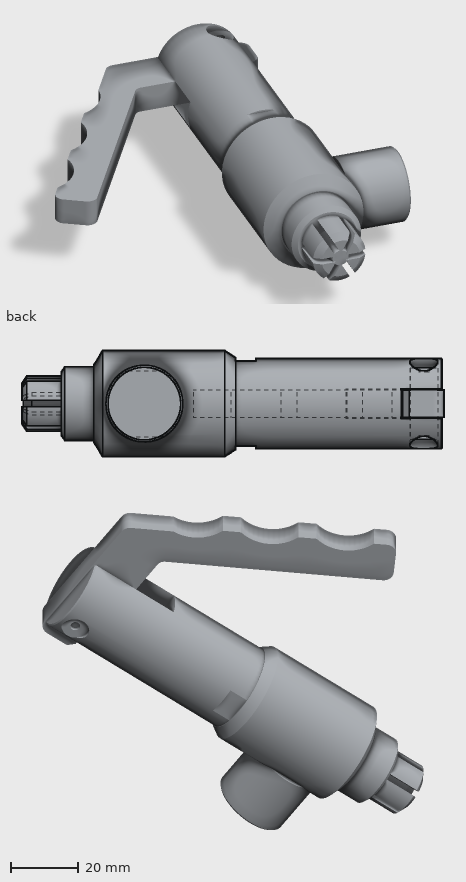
import cadquery as cq
import math

BARREL_START = 0.5
BARREL_END = 56.1
BARREL_DIA = 27.0
BARREL_CHAMFER = 0.4
NECK_END = 62.2
NECK_ACROSS_FLATS = 25.4
DRUM_DIA = 31.7
DRUM_REAR_DIA = 27.5
DRUM_REAR_CONE_END = 65.5
DRUM_FRONT_CONE_START = 101.8
DRUM_END = 104.5
DRUM_FRONT_DIA = 22.9
COLLAR_DIA = 22.0
COLLAR_CONE_START = 113.0
COLLAR_END = 114.2
COLLAR_FRONT_DIA = 18.9

TIP_END = 125.9
TIP_DIA = 16.6
TIP_CONE_START = 124.4
TIP_FRONT_DIA = 12.1
SPLINE_COUNT = 6
SPLINE_WIDTH = 1.9
CORE_DIA = 6.9
CORE_CONE_START = 123.0
CORE_END = 125.5
CORE_FRONT_DIA = 5.0

OUTLET_X = 89.4
OUTLET_DIA = 22.9
OUTLET_BASE_Y = 12.5
OUTLET_END_Y = 31.5
OUTLET_CHAMFER = 0.6

SLOT_WIDTH = 8.8
SLOT_BACK_END = 12.8
SLOT_FRONT_END = 29.3
SLOT_STEP_Y = 0.0

PIN_X = 6.0
PIN_Y = 5.2
PIN_DIA = 8.2
PIN_HOLE_DIA = 8.3
PIN_LENGTH = 21.4
PIN_DIMPLE_DIA = 2.9
PIN_DIMPLE_DEPTH = 1.3

LEVER_THICKNESS = 8.2
HEAD_TOP = 15.6
HEAD_WIDTH = 12.3
HEAD_ROUND = 3.1
HEAD_CHAMFER = 1.9
SHANK_WIDTH = 15.6
ELBOW_Y = -24.9
ELBOW_ROUND = 2.5
HEEL_ROUND = 3.0
ARM_ANGLE = 30
ARM_LENGTH = 69.6
HEEL_DEPTH = 11.0
GRIP_DEPTH = 12.7
ARM_END_ROUND = 3.0
FINGER_COUNT = 3
FINGER_FIRST = 8.8
FINGER_PITCH = 22.7
FINGER_RADIUS = 13.0
FINGER_DEPTH = 3.3


def box_between(x0, x1, y0, y1, z0, z1):
    return cq.Workplane("XY").box(x1 - x0, y1 - y0, z1 - z0, centered=False).translate((x0, y0, z0))


def revolved(profile):
    """Solid of revolution about X from (x, diameter) stations."""
    points = [(x, diameter / 2) for x, diameter in profile]
    points = [(profile[0][0], 0)] + points + [(profile[-1][0], 0)]
    return cq.Workplane("XY").polyline(points).close().revolve(360, (0, 0, 0), (1, 0, 0))


def turned_body():
    return revolved([
        (BARREL_START, BARREL_DIA - 2 * BARREL_CHAMFER),
        (BARREL_START + BARREL_CHAMFER, BARREL_DIA),
        (NECK_END, BARREL_DIA),
        (NECK_END, DRUM_REAR_DIA),
        (DRUM_REAR_CONE_END, DRUM_DIA),
        (DRUM_FRONT_CONE_START, DRUM_DIA),
        (DRUM_END, DRUM_FRONT_DIA),
        (DRUM_END, COLLAR_DIA),
        (COLLAR_CONE_START, COLLAR_DIA),
        (COLLAR_END, COLLAR_FRONT_DIA),
    ])


def neck_flats():
    """Material outside the two flats of the neck, above and below."""
    inside = NECK_ACROSS_FLATS / 2
    outside = BARREL_DIA / 2
    upper = box_between(BARREL_END, NECK_END, -outside, outside, inside, outside)
    return upper.union(upper.mirror("XY"))


def splined_tip():
    """Ring of lands around a solid core that is coned at its free end."""
    tip = revolved([
        (COLLAR_END, TIP_DIA),
        (TIP_CONE_START, TIP_DIA),
        (TIP_END, TIP_FRONT_DIA),
    ])
    groove = box_between(COLLAR_END, TIP_END, 0, TIP_DIA, -SPLINE_WIDTH / 2, SPLINE_WIDTH / 2)
    for index in range(SPLINE_COUNT):
        tip = tip.cut(groove.rotate((0, 0, 0), (1, 0, 0), index * 360 / SPLINE_COUNT))
    core = revolved([
        (COLLAR_END, CORE_DIA),
        (CORE_CONE_START, CORE_DIA),
        (CORE_END, CORE_FRONT_DIA),
    ])
    return tip.union(core)


def outlet():
    length = OUTLET_END_Y - OUTLET_BASE_Y
    stub = cq.Workplane("XZ").circle(OUTLET_DIA / 2).extrude(-length).faces(">Y").chamfer(OUTLET_CHAMFER)
    return stub.translate((OUTLET_X, OUTLET_BASE_Y, 0))


def lever_slot():
    """Slot open at the barrel's end, longer on the side where the lever swings."""
    half = SLOT_WIDTH / 2
    reach = BARREL_DIA
    back = box_between(0, SLOT_BACK_END, SLOT_STEP_Y, reach, -half, half)
    front = box_between(0, SLOT_FRONT_END, -reach, SLOT_STEP_Y, -half, half)
    return back.union(front)


def pin_hole(diameter):
    return cq.Workplane("XY").center(PIN_X, PIN_Y).circle(diameter / 2).extrude(BARREL_DIA, both=True)


def make_housing():
    housing = turned_body().cut(neck_flats()).union(splined_tip()).union(outlet())
    return housing.cut(lever_slot()).cut(pin_hole(PIN_HOLE_DIA))


def make_pin():
    """Straight pin with a dimple in each end, its ends sunk below the barrel surface."""
    pin = cq.Workplane("XY").circle(PIN_DIA / 2).extrude(PIN_LENGTH / 2, both=True)
    pin = pin.faces(">Z").workplane().hole(PIN_DIMPLE_DIA, PIN_DIMPLE_DEPTH)
    pin = pin.faces("<Z").workplane().hole(PIN_DIMPLE_DIA, PIN_DIMPLE_DEPTH)
    return pin.translate((PIN_X, PIN_Y, 0))


def arm_point(along, across):
    """Point at a distance along the arm's inner edge and across from it, from the elbow."""
    angle = math.radians(ARM_ANGLE)
    x = SHANK_WIDTH + along * math.cos(angle) - across * math.sin(angle)
    y = ELBOW_Y - along * math.sin(angle) - across * math.cos(angle)
    return x, y


def extruded(outline):
    return outline.extrude(LEVER_THICKNESS / 2, both=True)


def make_lever():
    angle = math.radians(ARM_ANGLE)
    heel_y = ELBOW_Y + SHANK_WIDTH * math.tan(angle) - HEEL_DEPTH / math.cos(angle)
    heel_end = FINGER_FIRST
    elbow = (SHANK_WIDTH, ELBOW_Y)
    heel = (0, heel_y)
    arm_tip_inner = arm_point(ARM_LENGTH, 0)
    arm_tip_outer = arm_point(ARM_LENGTH, GRIP_DEPTH)
    lever = extruded(cq.Workplane("XY").polyline([
        (0, HEAD_TOP),
        (HEAD_WIDTH, HEAD_TOP),
        (HEAD_WIDTH, SLOT_STEP_Y),
        (SHANK_WIDTH, SLOT_STEP_Y),
        elbow,
        arm_tip_inner,
        arm_tip_outer,
        arm_point(heel_end, GRIP_DEPTH),
        arm_point(heel_end, HEEL_DEPTH),
        heel,
    ]).close())

    def corner(x, y):
        """The upright edge of the lever at one corner of its outline."""
        margin = 0.01
        low = (x - margin, y - margin, -LEVER_THICKNESS)
        high = (x + margin, y + margin, LEVER_THICKNESS)
        return lever.edges(cq.selectors.BoxSelector(low, high))

    lever = corner(0, HEAD_TOP).fillet(HEAD_ROUND)
    lever = corner(HEAD_WIDTH, HEAD_TOP).chamfer(HEAD_CHAMFER)
    lever = corner(*elbow).fillet(ELBOW_ROUND)
    lever = corner(*heel).fillet(HEEL_ROUND)
    lever = corner(*arm_tip_inner).fillet(ARM_END_ROUND)
    lever = corner(*arm_tip_outer).fillet(ARM_END_ROUND)

    for index in range(FINGER_COUNT):
        along = FINGER_FIRST + index * FINGER_PITCH
        across = GRIP_DEPTH - FINGER_DEPTH + FINGER_RADIUS
        hollow = cq.Workplane("XY").center(*arm_point(along, across)).circle(FINGER_RADIUS)
        lever = lever.cut(extruded(hollow))
    return lever.cut(pin_hole(PIN_DIA))


housing = make_housing()
lever = make_lever()
pin = make_pin()

result = cq.Compound.makeCompound([housing.val(), lever.val(), pin.val()])